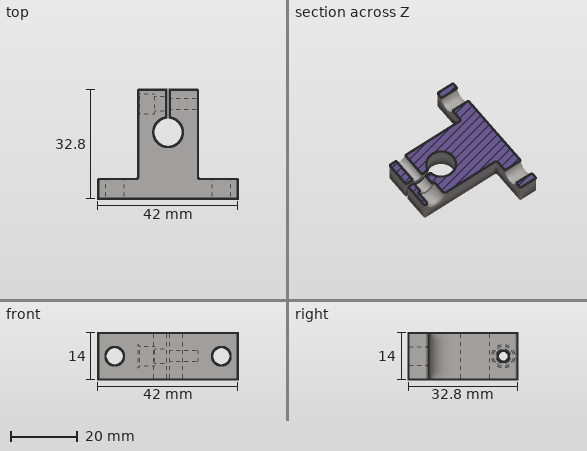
import cadquery as cq

flange_width = 42.0
total_height = 32.8
thickness = 14.0

flange_thickness = 6.0
column_width = 18.0
corner_radius = 0.5

bore_diameter = 8.8
bore_height = 20.0
slit_width = 1.0

mounting_hole_diameter = 5.5
mounting_hole_spacing = 32.0

screw_height = 28.5
tapped_diameter = 3.3
clearance_diameter = 4.4
head_diameter = 6.0
head_depth = 5.0
head_chamfer = 0.5

half_column = column_width / 2


def bracket_body():
    """T-shaped plate with rounded corners everywhere except on the mounting face."""
    flange = cq.Workplane("XY").box(
        flange_width, flange_thickness, thickness, centered=(True, False, True)
    )
    column = cq.Workplane("XY").box(
        column_width, total_height, thickness, centered=(True, False, True)
    )
    body = flange.union(column)
    return body.edges("|Z").edges("not <Y").fillet(corner_radius)


def shaft_clamp_cut():
    """Shaft bore along Z with the slit leading out through the column end."""
    bore = (
        cq.Workplane("XY")
        .center(0, bore_height)
        .circle(bore_diameter / 2)
        .extrude(thickness / 2, both=True)
    )
    slit = (
        cq.Workplane("XY")
        .center(0, bore_height)
        .box(slit_width, total_height - bore_height, thickness, centered=(True, False, True))
    )
    return bore.union(slit)


def mounting_holes_cut():
    """Pair of plain holes along Y through the flange."""
    half_spacing = mounting_hole_spacing / 2
    return (
        cq.Workplane("XZ")
        .pushPoints([(-half_spacing, 0), (half_spacing, 0)])
        .circle(mounting_hole_diameter / 2)
        .extrude(-flange_thickness)
    )


def clamp_screw_cut():
    """Stepped screw hole: chamfered head recess and clearance on -X, tapped bore on +X."""
    head_radius = head_diameter / 2
    clearance_radius = clearance_diameter / 2
    tapped_radius = tapped_diameter / 2
    head_floor = -half_column + head_depth
    half_section = [
        (-half_column, 0),
        (-half_column, head_radius + head_chamfer),
        (-half_column + head_chamfer, head_radius),
        (head_floor, head_radius),
        (head_floor, clearance_radius),
        (0, clearance_radius),
        (0, tapped_radius),
        (half_column, tapped_radius),
        (half_column, 0),
    ]
    return (
        cq.Workplane("XY")
        .center(0, screw_height)
        .polyline(half_section)
        .close()
        .revolve(360, (0, 0), (1, 0))
    )


result = (
    bracket_body()
    .cut(shaft_clamp_cut())
    .cut(mounting_holes_cut())
    .cut(clamp_screw_cut())
)